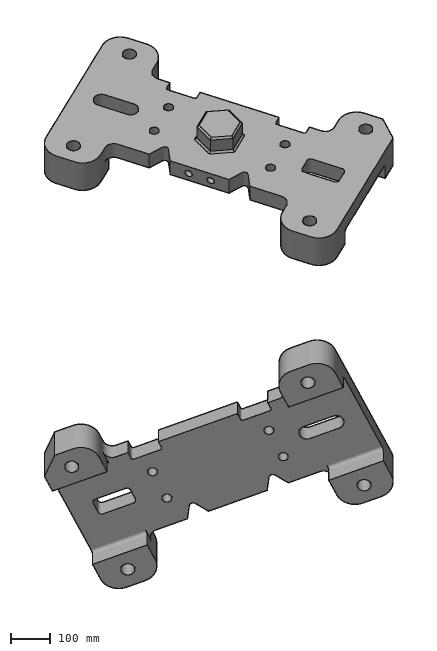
import cadquery as cq
import math

length = 800.0
width = 450.0
plate_height = 100.0
bar_width = 150.0
leg_reach = 100.0
neck_width = width - 2 * leg_reach
neck_thickness = plate_height / 2
underside = plate_height - neck_thickness
corner_size = bar_width / 3
neck_fillet = corner_size / 2
channel_fillet = 10.0

bar_center_x = (length - bar_width) / 2
leg_center_y = (width - leg_reach) / 2
leg_hole_diameter = 35.0
neck_hole_diameter = 25.0
neck_hole_x = 160.0
neck_hole_y = 45.0

slot_x = 285.0
round_slot_length = 120.0
round_slot_width = 40.0
square_slot_length = 102.0
square_slot_width = 50.0
square_slot_radius = 10.0

step_notch_x = 150.0
step_notch_width = 83.0
step_notch_depth = 25.0
step_notch_radius = 5.0
vee_notch_x = 110.0
vee_notch_width = 58.0
vee_notch_radius = 10.0

side_hole_diameter = 20.0
side_hole_x = 30.0
side_hole_depth = 50.0
drill_point_angle = 118.0

boss_across_flats = 100.0
boss_height = neck_thickness
boss_chamfer = 5.0


def at_both_signs(x, y):
    """The four points (+-x, +-y)."""
    return [(sx * x, sy * y) for sx in (-1, 1) for sy in (-1, 1)]


def end_bars(height):
    """Both end bars, reaching down from the top face by height; one outer corner is chamfered."""
    blank = cq.Workplane("XY").box(bar_width, width, height, centered=(True, True, False))
    left = blank.edges("|Z").fillet(corner_size)
    right = blank.edges("|Z and (<X or <Y)").fillet(corner_size)
    right = right.edges("|Z and >X and >Y").chamfer(corner_size)
    bottom = plate_height - height
    return left.translate((-bar_center_x, 0, bottom)).union(right.translate((bar_center_x, 0, bottom)))


def upper_plate():
    """H-shaped plate of neck thickness, filleted where the neck meets the bars."""
    neck = (
        cq.Workplane("XY", origin=(0, 0, underside))
        .rect(2 * bar_center_x, neck_width)
        .extrude(neck_thickness)
    )
    plate = neck.union(end_bars(neck_thickness))
    inner_x = length / 2 - bar_width
    for x, y in at_both_signs(inner_x, neck_width / 2):
        corner = cq.selectors.NearestToPointSelector((x, y, underside + neck_thickness / 2))
        plate = plate.edges(corner).fillet(neck_fillet)
    return plate


def legs():
    """Full-height bars with the channel under the neck cut through them, leaving four legs."""
    channel = (
        cq.Workplane("XY")
        .box(length, neck_width, underside, centered=(True, True, False))
        .edges("|X and >Z")
        .fillet(channel_fillet)
    )
    return end_bars(plate_height).cut(channel)


def vertical_holes():
    """Bolt holes through the legs and the neck."""
    leg_holes = (
        cq.Workplane("XY")
        .pushPoints(at_both_signs(bar_center_x, leg_center_y))
        .circle(leg_hole_diameter / 2)
        .extrude(plate_height)
    )
    neck_holes = (
        cq.Workplane("XY")
        .pushPoints(at_both_signs(neck_hole_x, neck_hole_y))
        .circle(neck_hole_diameter / 2)
        .extrude(plate_height)
    )
    return leg_holes.union(neck_holes)


def slots():
    """Round-ended slot on the -X side, rounded rectangular slot on the +X side."""
    round_slot = (
        cq.Workplane("XY", origin=(-slot_x, 0, 0))
        .slot2D(round_slot_length, round_slot_width)
        .extrude(plate_height)
    )
    square_slot = (
        cq.Workplane("XY", origin=(slot_x, 0, 0))
        .rect(square_slot_length, square_slot_width)
        .extrude(plate_height)
        .edges("|Z")
        .fillet(square_slot_radius)
    )
    return round_slot.union(square_slot)


def step_notch(x):
    """Rectangular notch in the +Y edge with rounded inner corners."""
    return (
        cq.Workplane("XY", origin=(x, neck_width / 2, 0))
        .rect(step_notch_width, 2 * step_notch_depth)
        .extrude(plate_height)
        .edges("|Z and <Y")
        .fillet(step_notch_radius)
    )


def vee_notch(x):
    """Equilateral notch in the -Y edge with a rounded tip."""
    depth = vee_notch_width / 2 * math.sqrt(3)
    return (
        cq.Workplane("XY", origin=(x, -neck_width / 2, 0))
        .polyline([(-vee_notch_width / 2, 0), (vee_notch_width / 2, 0), (0, depth)])
        .close()
        .extrude(plate_height)
        .edges("|Z and >Y")
        .fillet(vee_notch_radius)
    )


def side_hole(x):
    """Blind drilled hole entering the -Y edge at mid-thickness, ending in a drill point."""
    radius = side_hole_diameter / 2
    point_length = radius / math.tan(math.radians(drill_point_angle / 2))
    profile = [(0, 0), (radius, 0), (radius, side_hole_depth), (0, side_hole_depth + point_length)]
    return (
        cq.Workplane("XY")
        .polyline(profile)
        .close()
        .revolve(360, (0, 0), (0, 1))
        .translate((x, -neck_width / 2, underside + neck_thickness / 2))
    )


def hexagon_prism(across_flats, height, bottom):
    """Hexagonal prism with flats facing +-X."""
    across_corners = across_flats / math.cos(math.pi / 6)
    return (
        cq.Workplane("XY", origin=(0, 0, bottom))
        .polygon(6, across_corners)
        .extrude(height)
        .rotate((0, 0, 0), (0, 0, 1), 30)
    )


def boss():
    """Hexagonal boss, chamfered at the top and flared out where it meets the plate."""
    head = hexagon_prism(boss_across_flats, boss_height, plate_height).faces(">Z").chamfer(boss_chamfer)
    flare_width = boss_across_flats + 2 * boss_chamfer
    flare = hexagon_prism(flare_width, 2 * boss_chamfer, plate_height - boss_chamfer)
    flare = flare.faces(">Z").chamfer(boss_chamfer)
    return head.union(flare)


result = upper_plate().union(legs()).cut(vertical_holes()).cut(slots())
for side in (-1, 1):
    result = result.cut(step_notch(side * step_notch_x))
    result = result.cut(vee_notch(side * vee_notch_x))
    result = result.cut(side_hole(side * side_hole_x))
result = result.union(boss())